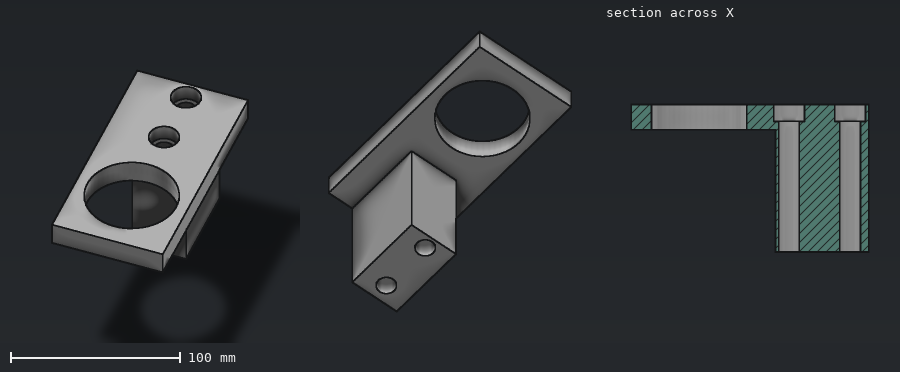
import cadquery as cq

plate_width = 70.0
plate_length = 140.0
plate_thickness = 15.0

block_width = 34.0
block_length = 55.0
block_height = 72.0

opening_diameter = 56.0
opening_from_back = 100.0

bolt_diameter = 12.0
counterbore_diameter = 18.0
counterbore_depth = 10.0
first_bolt_from_back = 11.0
bolt_spacing = 36.0
bolt_count = 2

total_height = plate_thickness + block_height


def box_below(width, length, height, top_z):
    """Box centred on x = 0, running forward (-Y) from y = 0 and down from top_z."""
    return (
        cq.Workplane("XY")
        .box(width, length, height, centered=(True, True, False))
        .translate((0, -length / 2, top_z - height))
    )


def round_cutter(diameter, depth, from_back):
    """Vertical cylinder reaching down from the top face on the centre line."""
    return (
        cq.Workplane("XY")
        .center(0, -from_back)
        .circle(diameter / 2)
        .extrude(-depth)
    )


plate = box_below(plate_width, plate_length, plate_thickness, 0)
block = box_below(block_width, block_length, block_height, -plate_thickness)
bracket = plate.union(block)

bracket = bracket.cut(round_cutter(opening_diameter, plate_thickness, opening_from_back))

for index in range(bolt_count):
    from_back = first_bolt_from_back + index * bolt_spacing
    bracket = bracket.cut(round_cutter(bolt_diameter, total_height, from_back))
    bracket = bracket.cut(round_cutter(counterbore_diameter, counterbore_depth, from_back))

result = bracket